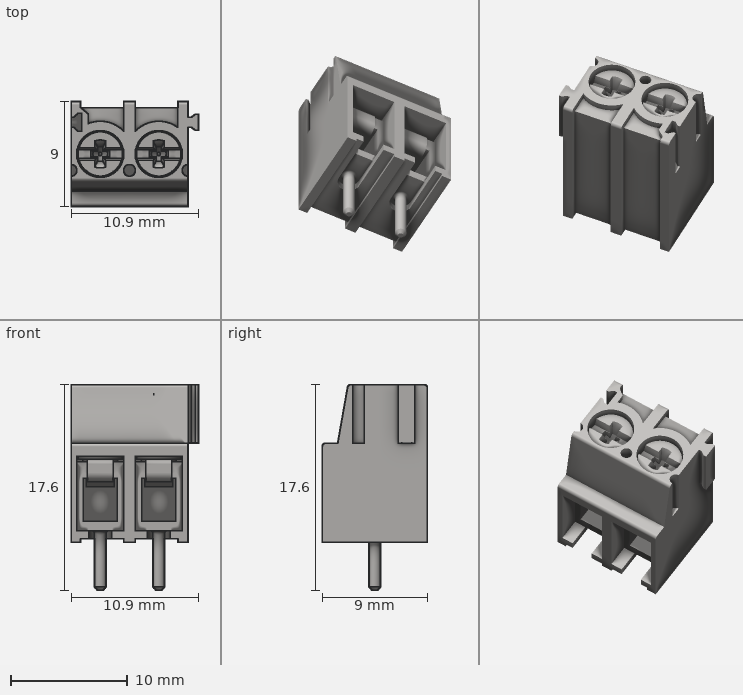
import math
import cadquery as cq


pitch = 5.0
pole_count = 2
length = pole_count * pitch
depth = 9.0
front_y = -depth / 2
back_y = depth / 2
height = 13.5
step_z = 8.5
slope_foot_y = -3.18
slope_angle = 10.0
edge_radius = 0.3
pole_centres = [pitch * (i + 0.5) for i in range(pole_count)]

left_rib = 0.83
right_rib = 0.87
middle_rib = 1.0
rib_height = 0.53
foot_height = 0.3
ledge_z = 12.9
collar_radius = 2.8
rib_corner_x = 1.47
rib_corner_drop = 0.55

dovetail_y = 2.71
neck_half = 0.43
tail_half = 0.70
tail_neck = 0.27
tail_flare = 0.63
tail_length = 0.91
groove_half = 0.76
groove_neck = 0.24
groove_flare = 0.58

mark_diameter = 1.0
mark_y = -1.4

pocket_width = 4.02
pocket_floor = 1.0
pocket_top = 7.35
clamp_front_y = -2.5
clamp_back_y = 2.5
clamp_top = 6.9
opening_width = 2.9
opening_floor = 1.8
opening_top = 5.48
opening_back_y = 2.0

leaf_width = 2.2
leaf_thickness = 0.2
leaf_top_radius = 0.4
leaf_bend_z = 5.95
leaf_bend_radius = 0.77
wedge_width = 2.4
wedge_foot_z = 4.75
wedge_angle = 24.0

pin_diameter = 1.0
pin_tip_z = -4.1
pin_tip_height = 0.3
pin_tip_inset = 0.27
pin_root_radius = 0.2
pin_slot_width = 1.95

screw_hole_diameter = 4.0
screw_diameter = 3.79
screw_top = 12.9
shank_diameter = 3.0
head_bottom = 7.12
slot_top_width = 1.1
slot_floor_width = 0.7
slot_depth = 0.7
cross_radius = 1.2
cross_mid_radius = 0.63
cross_tip_radius = 0.14
cross_mid_depth = 1.08
cross_depth = 1.4
cross_top_width = 0.97
cross_floor_width = 0.45


def box(x0, x1, y0, y1, z0, z1):
    """Box between two limits along each axis."""
    return cq.Workplane("XY").box(x1 - x0, y1 - y0, z1 - z0, centered=False).translate((x0, y0, z0))


def prism_along_x(profile, x0, x1):
    """Extrude a wire drawn on the YZ plane from x0 to x1."""
    return profile.extrude(x1 - x0).translate((x0, 0, 0))


def cylinder(x, y, diameter, z0, z1):
    """Vertical round bar between two heights."""
    return cq.Workplane("XY", origin=(x, y, z0)).circle(diameter / 2).extrude(z1 - z0)


def rib_gaps():
    """Left and right limits of each gap between neighbouring ribs."""
    edges = [left_rib]
    for i in range(1, pole_count):
        edges += [i * pitch - middle_rib / 2, i * pitch + middle_rib / 2]
    edges.append(length - right_rib)
    return list(zip(edges[::2], edges[1::2]))


def make_housing():
    """Side outline with a sloped front shoulder and rounded upper edges."""
    slope_top_y = slope_foot_y + (height - step_z) * math.tan(math.radians(slope_angle))
    outline = (
        cq.Workplane("YZ")
        .moveTo(front_y, 0)
        .lineTo(back_y, 0)
        .lineTo(back_y, height)
        .lineTo(slope_top_y, height)
        .lineTo(slope_foot_y, step_z)
        .lineTo(front_y, step_z)
        .close()
    )
    block = outline.extrude(length)
    for y, z in [(back_y, height), (slope_top_y, height), (front_y, step_z)]:
        edge = cq.selectors.NearestToPointSelector((length / 2, y, z))
        block = block.edges("|X").edges(edge).fillet(edge_radius)
    return block


def cut_rib_gaps(body):
    """Recess the back and the underside between ribs, and step the top down behind each screw."""
    wall_y = back_y - rib_height
    for (x0, x1), centre in zip(rib_gaps(), pole_centres):
        body = body.cut(box(x0, x1, wall_y, back_y, 0, height))
        body = body.cut(box(x0, x1, front_y, back_y, 0, foot_height))
        ledge = box(x0, x1, 0, wall_y, ledge_z, height)
        ledge = ledge.cut(cylinder(centre, 0, 2 * collar_radius, ledge_z, height))
        ledge = ledge.cut(left_rib_gusset(wall_y))
        body = body.cut(ledge)
    return body


def left_rib_gusset(wall_y):
    """Chamfered widening of the leftmost rib beside its dovetail groove."""
    return (
        cq.Workplane("XY", origin=(0, 0, ledge_z))
        .moveTo(left_rib, wall_y)
        .lineTo(rib_corner_x, wall_y - rib_corner_drop)
        .lineTo(rib_corner_x, 0)
        .lineTo(left_rib, 0)
        .close()
        .extrude(height - ledge_z)
    )


def dovetail(x, neck, flare, end, wide_half):
    """Dovetail bar along Z that starts at x and widens toward +X."""
    half = [(0, neck_half), (neck, neck_half), (flare, wide_half), (end, wide_half)]
    points = half + [(px, -py) for px, py in reversed(half)]
    plan = cq.Workplane("XY", origin=(x, dovetail_y, step_z)).polyline(points).close()
    return plan.extrude(height - step_z)


def add_dovetails(body):
    """Groove in the left end and a matching tail on the right end."""
    body = body.cut(dovetail(0, groove_neck, groove_flare, tail_length, groove_half))
    return body.union(dovetail(length, tail_neck, tail_flare, tail_length, tail_half))


def cut_marking_holes(body):
    """Blind holes between poles, halved by the ends of the housing."""
    for i in range(pole_count + 1):
        body = body.cut(cylinder(i * pitch, mark_y, mark_diameter, step_z, height))
    return body


def cut_pocket(body, x):
    """Wire pocket, the space above the clamp cage, the cage opening and the pin slot."""
    half = pocket_width / 2
    body = body.cut(box(x - half, x + half, front_y, clamp_front_y, pocket_floor, pocket_top))
    body = body.cut(box(x - half, x + half, clamp_front_y, clamp_back_y, clamp_top, pocket_top))
    half = opening_width / 2
    body = body.cut(box(x - half, x + half, clamp_front_y, opening_back_y, opening_floor, opening_top))
    half = pin_slot_width / 2
    body = body.cut(box(x - half, x + half, front_y, 0, 0, pocket_floor))
    return body.cut(cylinder(x, 0, pin_slot_width, 0, pocket_floor))


def make_leaf(x):
    """Bent strip that lies on the cage, hangs over its front and turns back into the opening."""
    face_y = clamp_front_y - leaf_thickness
    top_z = clamp_top + leaf_thickness
    corner_y = face_y + leaf_top_radius
    corner_z = top_z - leaf_top_radius
    bend_y = face_y + leaf_bend_radius
    inner_bend = leaf_bend_radius - leaf_thickness
    diagonal = math.sqrt(0.5)
    strip = (
        cq.Workplane("YZ")
        .moveTo(0, clamp_top)
        .lineTo(0, top_z)
        .lineTo(corner_y, top_z)
        .threePointArc(
            (corner_y - leaf_top_radius * diagonal, corner_z + leaf_top_radius * diagonal),
            (face_y, corner_z),
        )
        .lineTo(face_y, leaf_bend_z)
        .threePointArc(
            (bend_y - leaf_bend_radius * diagonal, leaf_bend_z - leaf_bend_radius * diagonal),
            (bend_y, leaf_bend_z - leaf_bend_radius),
        )
        .lineTo(opening_back_y, leaf_bend_z - leaf_bend_radius)
        .lineTo(opening_back_y, leaf_bend_z - inner_bend)
        .lineTo(bend_y, leaf_bend_z - inner_bend)
        .threePointArc(
            (bend_y - inner_bend * diagonal, leaf_bend_z - inner_bend * diagonal),
            (clamp_front_y, leaf_bend_z),
        )
        .lineTo(clamp_front_y, clamp_top)
        .close()
    )
    return prism_along_x(strip, x - leaf_width / 2, x + leaf_width / 2)


def make_wedge(x):
    """Slanted block in the upper rear corner of the cage opening."""
    reach = (opening_top - wedge_foot_z) * math.tan(math.radians(wedge_angle))
    section = (
        cq.Workplane("YZ")
        .moveTo(opening_back_y, wedge_foot_z)
        .lineTo(opening_back_y, opening_top)
        .lineTo(opening_back_y - reach, opening_top)
        .close()
    )
    return prism_along_x(section, x - wedge_width / 2, x + wedge_width / 2)


def make_pin(x):
    """Round solder pin with a tapered tip and a rounded root under the cage."""
    radius = pin_diameter / 2
    root_z = pocket_floor - pin_root_radius
    turn = pin_root_radius * (1 - math.sqrt(0.5))
    return (
        cq.Workplane("XZ")
        .moveTo(0, pin_tip_z)
        .lineTo(radius - pin_tip_inset, pin_tip_z)
        .lineTo(radius, pin_tip_z + pin_tip_height)
        .lineTo(radius, root_z)
        .threePointArc((radius + turn, pocket_floor - turn), (radius + pin_root_radius, pocket_floor))
        .lineTo(0, pocket_floor)
        .close()
        .revolve(360, (0, 0, 0), (0, 1, 0))
        .translate((x, 0, 0))
    )


def make_cross():
    """Tapered cross recess, centred on the origin and reaching down from Z = 0."""
    cone = (
        cq.Workplane("XZ")
        .moveTo(0, 0)
        .lineTo(cross_radius, 0)
        .lineTo(cross_mid_radius, -cross_mid_depth)
        .lineTo(cross_tip_radius, -cross_depth)
        .lineTo(0, -cross_depth)
        .close()
        .revolve(360, (0, 0, 0), (0, 1, 0))
    )
    half = [
        (cross_top_width / 2, 0),
        (cross_floor_width / 2, -cross_mid_depth),
        (cross_floor_width / 2, -cross_depth),
    ]
    section = half + [(-px, pz) for px, pz in reversed(half)]
    arm = cq.Workplane("XZ").polyline(section).close().extrude(cross_radius, both=True)
    arms = arm.union(arm.rotate((0, 0, 0), (0, 0, 1), 90))
    return arms.intersect(cone)


def make_screw(x):
    """Screw whose head has a straight slot and a cross recess, on a short shank."""
    head = cylinder(0, 0, screw_diameter, head_bottom, screw_top)
    slot = (
        cq.Workplane("YZ")
        .moveTo(-slot_top_width / 2, screw_top)
        .lineTo(slot_top_width / 2, screw_top)
        .lineTo(slot_floor_width / 2, screw_top - slot_depth)
        .lineTo(-slot_floor_width / 2, screw_top - slot_depth)
        .close()
        .extrude(screw_diameter, both=True)
    )
    head = head.cut(slot).cut(make_cross().translate((0, 0, screw_top)))
    screw = head.union(cylinder(0, 0, shank_diameter, clamp_top, head_bottom))
    return screw.translate((x, 0, 0))


def add_pole(body, x):
    """Everything that belongs to one pole."""
    body = cut_pocket(body, x)
    body = body.cut(cylinder(x, 0, screw_hole_diameter, clamp_top, height))
    body = body.union(make_screw(x))
    body = body.union(make_leaf(x))
    body = body.union(make_wedge(x))
    return body.union(make_pin(x))


terminal = make_housing()
terminal = cut_rib_gaps(terminal)
terminal = add_dovetails(terminal)
terminal = cut_marking_holes(terminal)
for pole_x in pole_centres:
    terminal = add_pole(terminal, pole_x)

result = terminal